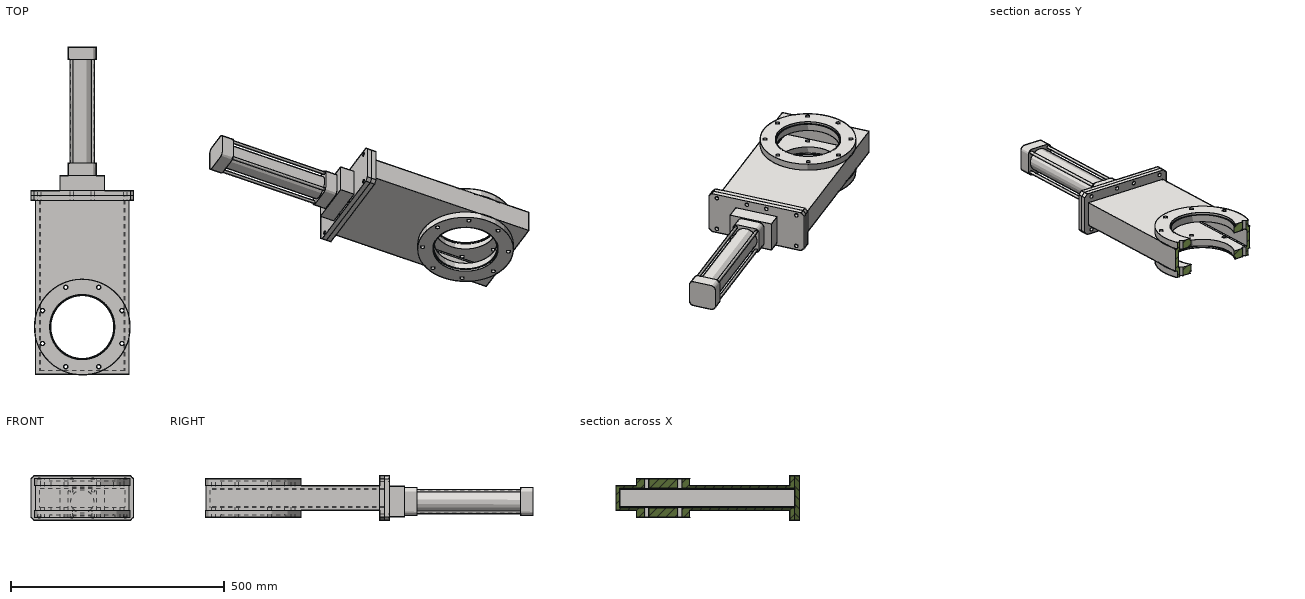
import cadquery as cq


BODY_WIDTH = 220.0
BODY_HEIGHT = 58.0
BODY_END = 111.0
WALL = 9.0
CHAMBER_HEIGHT = 45.5
CHAMBER_CORNER = 2.0

PORT_FLANGE_DIAMETER = 225.0
PORT_FLANGE_SPAN = 91.0
PORT_DIAMETER = 148.0
COUNTERBORE_DIAMETER = 153.0
COUNTERBORE_DEPTH = 5.5
PORT_BOLT_DIAMETER = 9.0
PORT_BOLT_CIRCLE = 201.5
PORT_BOLT_COUNT = 8

PLATE_WIDTH = 242.0
PLATE_HEIGHT = 105.0
PLATE_THICKNESS = 11.5
PLATE_CHAMFER = 8.0
JOINT_Y = 308.5
JOINT_BOLT_DIAMETER = 8.5
JOINT_BOLT_X = (25.0, 101.0)
JOINT_BOLT_Z = 42.0

TOTAL_LENGTH = 769.5
ACTUATOR_Z = -8.5
BLOCK_WIDTH = 105.0
BLOCK_HEIGHT = 72.0
BLOCK_END_Y = 355.5
CAP_SIZE = 66.0
CAP_LENGTH = 29.0
CAP_CORNER_RADIUS = 11.5
TUBE_DIAMETER = 55.0
ROD_DIAMETER = 7.0
ROD_SPACING = 51.0

PLATE_INNER_Y = JOINT_Y - PLATE_THICKNESS
PLATE_OUTER_Y = JOINT_Y + PLATE_THICKNESS
ACTUATOR_END_Y = TOTAL_LENGTH - PORT_FLANGE_DIAMETER / 2
FAR_CAP_Y = ACTUATOR_END_Y - CAP_LENGTH
TUBE_START_Y = BLOCK_END_Y + CAP_LENGTH


def box_along_y(width, height, start_y, end_y, centre_z=0.0):
    """A box centred on X, reaching from start_y to end_y."""
    length = end_y - start_y
    return cq.Workplane("XY").box(width, length, height).translate((0, start_y + length / 2, centre_z))


def rods_along_y(points, diameter, start_y, end_y):
    """Round bars along Y, one at each (x, z) point."""
    bars = cq.Workplane("XZ", origin=(0, start_y, 0)).pushPoints(points)
    return bars.circle(diameter / 2).extrude(start_y - end_y)


def cylinder_along_z(diameter, start_z, end_z):
    return cq.Workplane("XY").workplane(offset=start_z).circle(diameter / 2).extrude(end_z - start_z)


def make_joint_plate(start_y, end_y):
    """One plate of the flange joint, with chamfered corners and two rows of bolt holes."""
    plate = box_along_y(PLATE_WIDTH, PLATE_HEIGHT, start_y, end_y)
    plate = plate.edges("|Y").chamfer(PLATE_CHAMFER)
    points = [
        (side * x, row * JOINT_BOLT_Z)
        for x in JOINT_BOLT_X
        for side in (-1, 1)
        for row in (-1, 1)
    ]
    return plate.cut(rods_along_y(points, JOINT_BOLT_DIAMETER, start_y, end_y))


def make_valve_body():
    half_span = PORT_FLANGE_SPAN / 2
    half_height = BODY_HEIGHT / 2
    body = box_along_y(BODY_WIDTH, BODY_HEIGHT, -BODY_END, PLATE_INNER_Y)
    body = body.union(cylinder_along_z(PORT_FLANGE_DIAMETER, half_height, half_span))
    body = body.union(cylinder_along_z(PORT_FLANGE_DIAMETER, -half_span, -half_height))
    body = body.union(make_joint_plate(PLATE_INNER_Y, JOINT_Y))

    chamber = box_along_y(BODY_WIDTH - 2 * WALL, CHAMBER_HEIGHT, WALL - BODY_END, JOINT_Y)
    body = body.cut(chamber.edges("|Y").chamfer(CHAMBER_CORNER))

    body = body.cut(cylinder_along_z(PORT_DIAMETER, -half_span, half_span))
    counterbore_floor = half_span - COUNTERBORE_DEPTH
    body = body.cut(cylinder_along_z(COUNTERBORE_DIAMETER, counterbore_floor, half_span))
    body = body.cut(cylinder_along_z(COUNTERBORE_DIAMETER, -half_span, -counterbore_floor))

    bolt_step = 360 / PORT_BOLT_COUNT
    bolt_holes = (
        cq.Workplane("XY")
        .workplane(offset=-half_span)
        .polarArray(PORT_BOLT_CIRCLE / 2, bolt_step / 2, 360, PORT_BOLT_COUNT)
        .circle(PORT_BOLT_DIAMETER / 2)
        .extrude(PORT_FLANGE_SPAN)
    )
    return body.cut(bolt_holes)


def make_cap(start_y):
    """A square cylinder cap with rounded long edges."""
    cap = box_along_y(CAP_SIZE, CAP_SIZE, start_y, start_y + CAP_LENGTH, ACTUATOR_Z)
    return cap.edges("|Y").fillet(CAP_CORNER_RADIUS)


def make_actuator():
    actuator = make_joint_plate(JOINT_Y, PLATE_OUTER_Y)
    actuator = actuator.union(
        box_along_y(BLOCK_WIDTH, BLOCK_HEIGHT, PLATE_OUTER_Y, BLOCK_END_Y, ACTUATOR_Z)
    )

    for cap_y in (BLOCK_END_Y, FAR_CAP_Y):
        actuator = actuator.union(make_cap(cap_y))
    tube = rods_along_y([(0, ACTUATOR_Z)], TUBE_DIAMETER, TUBE_START_Y, FAR_CAP_Y)
    half_spacing = ROD_SPACING / 2
    rod_points = [
        (x, ACTUATOR_Z + z)
        for x in (-half_spacing, half_spacing)
        for z in (-half_spacing, half_spacing)
    ]
    tie_rods = rods_along_y(rod_points, ROD_DIAMETER, TUBE_START_Y, FAR_CAP_Y)
    return actuator.union(tube).union(tie_rods)


valve_body = make_valve_body()
actuator = make_actuator()
result = cq.Compound.makeCompound([valve_body.val(), actuator.val()])